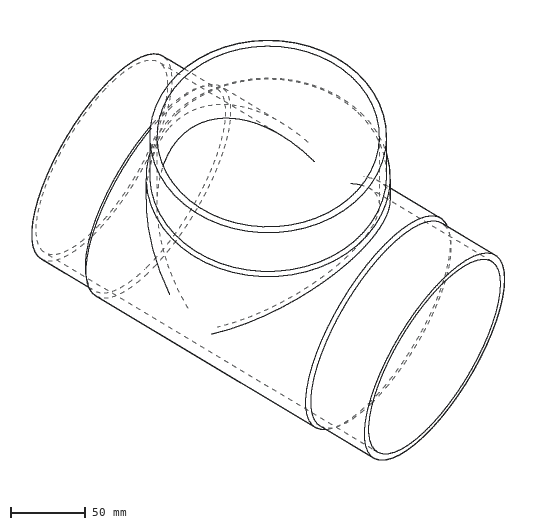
import cadquery as cq

run_length = 279.0
branch_height = 139.8
spigot_diameter = 160.0
body_diameter = 165.0
bore_diameter = 150.0
spigot_length = 45.0
shoulder_chamfer = 2.5

body_half_length = run_length / 2 - spigot_length
branch_body_height = branch_height - spigot_length


def run_cylinder(diameter, half_length):
    """Cylinder along X, centred on the origin."""
    return cq.Workplane("YZ", origin=(-half_length, 0, 0)).circle(diameter / 2).extrude(2 * half_length)


def branch_cylinder(diameter, height):
    """Cylinder rising along Z from the run axis."""
    return cq.Workplane("XY").circle(diameter / 2).extrude(height)


run_body = run_cylinder(body_diameter, body_half_length).edges().chamfer(shoulder_chamfer)
branch_body = branch_cylinder(body_diameter, branch_body_height).faces(">Z").edges().chamfer(shoulder_chamfer)

run_spigots = run_cylinder(spigot_diameter, run_length / 2)
branch_spigot = branch_cylinder(spigot_diameter, branch_height)

run_bore = run_cylinder(bore_diameter, run_length / 2)
branch_bore = branch_cylinder(bore_diameter, branch_height)

outer = run_body.union(branch_body).union(run_spigots).union(branch_spigot)
result = outer.cut(run_bore).cut(branch_bore)